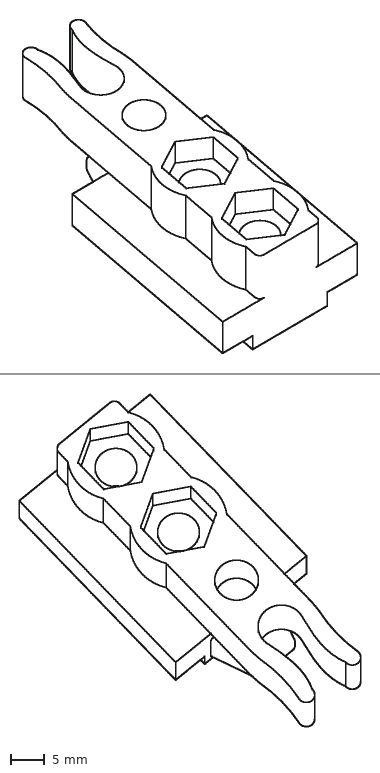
import cadquery as cq

length = 56.0
base_width = 26.0
total_height = 18.5

base_start = 21.0
base_length = length - base_start
plate_thickness = 6.6
body_height = 9.0
body_bottom = total_height - body_height
plate_bottom = body_bottom - plate_thickness

body_width = 12.05
half_body = body_width / 2
end_radius = 1.0
boss_diameter = 14.45
rail_width = boss_diameter
boss_spacing = 14.0
first_boss_x = 35.0
boss_positions = [(first_boss_x + i * boss_spacing, 0) for i in range(2)]
screw_diameter = 6.2
nut_flats = 9.95
nut_corners = nut_flats / (3 ** 0.5 / 2)
nut_depth = 4.5

pin_x = 22.0
pin_diameter = 6.5
pin_depth = 6.7

arm_tip_y = 4.6
arm_tip_outer = (1.35, 5.8)
arm_tip_inner = (1.35, 3.3)
arm_waist = (5.4, 5.45)
arm_blend_start = (10.15, 5.9)
arm_root_x = 11.8
arm_bulge = (5.25, 2.5)
arm_inflection = (9.1, 2.9)
socket_x = 12.0
socket_radius = 3.5
socket_mouth = (11.15, 3.35)

tongue_tip_x = 13.0
tongue_length = base_start - tongue_tip_x
tongue_width = 12.05
tongue_height = 7.0
tongue_z = 4.0
tongue_taper = 15.0
tongue_radius = 0.85


def mirrored(point):
    return (point[0], -point[1])


def make_base():
    plate = cq.Workplane("XY", origin=(base_start, 0, plate_bottom)).box(
        base_length, base_width, plate_thickness, centered=(False, True, False)
    )
    rail = cq.Workplane("XY", origin=(base_start, 0, 0)).box(
        base_length, rail_width, plate_bottom, centered=(False, True, False)
    )
    return plate.union(rail)


def make_body():
    body = (
        cq.Workplane("XY", origin=(0, 0, body_bottom))
        .moveTo(arm_root_x, half_body)
        .lineTo(*arm_blend_start)
        .threePointArc(arm_waist, arm_tip_outer)
        .threePointArc((0, arm_tip_y), arm_tip_inner)
        .spline([arm_bulge, arm_inflection, socket_mouth], includeCurrent=True)
        .threePointArc((socket_x + socket_radius, 0), mirrored(socket_mouth))
        .spline([mirrored(p) for p in (arm_inflection, arm_bulge, arm_tip_inner)], includeCurrent=True)
        .threePointArc((0, -arm_tip_y), mirrored(arm_tip_outer))
        .threePointArc(mirrored(arm_waist), mirrored(arm_blend_start))
        .lineTo(arm_root_x, -half_body)
        .lineTo(length, -half_body)
        .lineTo(length, half_body)
        .close()
        .extrude(body_height)
        .edges("|Z and >X")
        .fillet(end_radius)
    )
    for x, y in boss_positions:
        boss = cq.Workplane("XY", origin=(x, y, body_bottom)).circle(boss_diameter / 2).extrude(body_height)
        body = body.union(boss)
    envelope = cq.Workplane("XY").box(
        length, base_width, total_height, centered=(False, True, False)
    )
    return body.intersect(envelope)


def make_tongue():
    tongue = (
        cq.Workplane("YZ", origin=(base_start, 0, tongue_z))
        .rect(tongue_width, tongue_height)
        .extrude(-tongue_length, taper=tongue_taper)
    )
    return tongue.edges("not >X").fillet(tongue_radius)


def make_holes():
    top = cq.Workplane("XY", origin=(0, 0, total_height))
    screws = top.pushPoints(boss_positions).circle(screw_diameter / 2).extrude(-total_height)
    nuts = top.pushPoints(boss_positions).polygon(6, nut_corners).extrude(-nut_depth)
    pin = top.center(pin_x, 0).circle(pin_diameter / 2).extrude(-pin_depth)
    return screws.union(nuts).union(pin)


result = make_base().union(make_body()).union(make_tongue()).cut(make_holes())